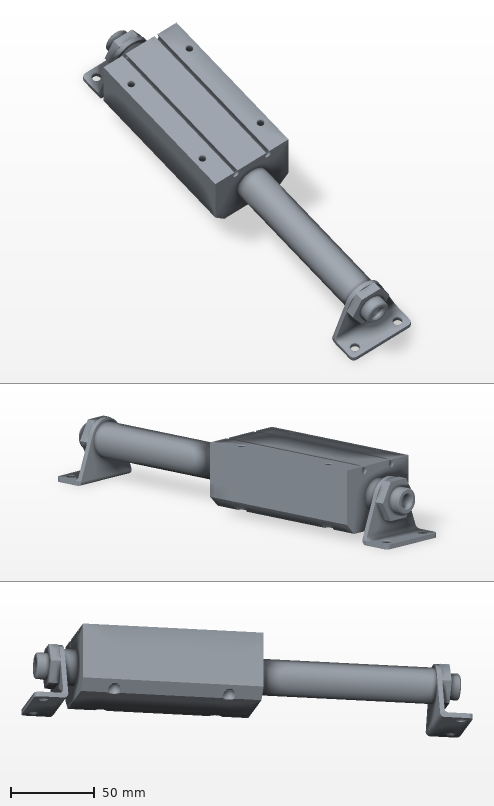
import cadquery as cq
import math

overall_length = 267.0
axis_height = 25.0

block_length = 110.0
block_width = 55.0
block_height = 40.0
block_top = 45.0
block_start = -105.2
block_bottom = block_top - block_height
block_middle = block_start + block_length / 2
edge_cut = 6.7

groove_offset = 12.0
groove_diameter = 4.3
groove_mouth = 2.5
groove_axis_depth = 2.7

screw_spacing_x = 70.0
screw_offset_y = 22.0
screw_diameter = 4.3
screw_mouth_diameter = 5.0
counterbore_diameter = 7.5
counterbore_depth = 6.0

rod_diameter = 22.0
stud_diameter = 16.0
stud_inset = 4.5
stud_chamfer = 0.8
tapped_diameter = 8.5
tapped_depth = 20.0
tapped_chamfer = 0.8

nut_across_flats = 24.0
nut_thickness = 6.0

bracket_width = 45.0
foot_length = 20.3
plate_thickness = 3.0
bend_inner_radius = 2.5
bend_outer_radius = 2.7
ear_radius = 13.0
foot_corner_radius = 3.0
foot_hole_diameter = 5.5
foot_hole_chamfer = 0.4
foot_hole_inset = 6.5
foot_hole_spacing = 32.0

half_length = overall_length / 2
plate_inner_x = half_length - foot_length
plate_outer_x = plate_inner_x + plate_thickness
stud_end_x = half_length - stud_inset


def rod_cylinder(diameter, start_x, end_x):
    """Round bar on the rod axis between two X stations."""
    section = cq.Workplane("YZ", origin=(start_x, 0, axis_height)).circle(diameter / 2)
    return section.extrude(end_x - start_x)


def make_groove(y):
    """Keyhole cutter along the block: a round channel opened upward by a narrow mouth."""
    center_z = block_top - groove_axis_depth
    channel = cq.Workplane("YZ", origin=(block_start, y, center_z)).circle(groove_diameter / 2)
    mouth = cq.Workplane("YZ", origin=(block_start, y, center_z + groove_axis_depth / 2))
    mouth = mouth.rect(groove_mouth, groove_axis_depth)
    return channel.extrude(block_length).union(mouth.extrude(block_length))


def make_block():
    """Block with cut lower edges, rod bore, top grooves and four counterbored holes."""
    half_width = block_width / 2
    cut_top = block_bottom + edge_cut
    outline = [
        (-half_width, block_top),
        (half_width, block_top),
        (half_width, cut_top),
        (half_width - edge_cut, block_bottom),
        (-half_width + edge_cut, block_bottom),
        (-half_width, cut_top),
    ]
    block = cq.Workplane("YZ", origin=(block_start, 0, 0)).polyline(outline).close()
    block = block.extrude(block_length)
    block = block.cut(rod_cylinder(rod_diameter, block_start, block_start + block_length))

    for side in (-1, 1):
        block = block.cut(make_groove(side * groove_offset))

    hole_pattern = cq.Workplane("XY", origin=(block_middle, 0, block_bottom))
    hole_pattern = hole_pattern.rarray(screw_spacing_x, 2 * screw_offset_y, 2, 2)
    block = block.cut(hole_pattern.circle(screw_diameter / 2).extrude(block_height))
    block = block.cut(hole_pattern.circle(counterbore_diameter / 2).extrude(counterbore_depth))

    mouth_pattern = cq.Workplane("XY", origin=(block_middle, 0, block_top))
    mouth_pattern = mouth_pattern.rarray(screw_spacing_x, 2 * screw_offset_y, 2, 2)
    mouth_depth = (screw_mouth_diameter - screw_diameter) / 2
    mouths = mouth_pattern.circle(screw_mouth_diameter / 2).extrude(-mouth_depth, taper=45)
    return block.cut(mouths)


def make_nut():
    """Hexagonal nut with flats at top and bottom, seated on the outer bracket face."""
    corner_diameter = nut_across_flats / math.cos(math.pi / 6)
    section = cq.Workplane("YZ", origin=(plate_outer_x, 0, axis_height)).polygon(6, corner_diameter)
    return section.extrude(nut_thickness)


def make_angle():
    """Bent strip of full width: upright plate, rounded bend and outward foot."""
    ear_top = axis_height + ear_radius
    profile = [
        (plate_inner_x, 0),
        (half_length, 0),
        (half_length, plate_thickness),
        (plate_outer_x, plate_thickness),
        (plate_outer_x, ear_top),
        (plate_inner_x, ear_top),
    ]
    strip = cq.Workplane("XZ", origin=(0, bracket_width / 2, 0)).polyline(profile).close()
    strip = strip.extrude(bracket_width)
    inner_corner = cq.NearestToPointSelector((plate_outer_x, 0, plate_thickness))
    strip = strip.edges(inner_corner).fillet(bend_inner_radius)
    outer_corner = cq.NearestToPointSelector((plate_inner_x, 0, 0))
    return strip.edges(outer_corner).fillet(bend_outer_radius)


def make_ear_outline():
    """Upright outline: a round ear joined by tangent lines to a foot of full width."""
    half_width = bracket_width / 2
    drop = axis_height - plate_thickness
    corner_distance = math.hypot(half_width, drop)
    tangent_angle = math.acos(ear_radius / corner_distance) - math.atan2(drop, half_width)
    tangent_y = ear_radius * math.cos(tangent_angle)
    tangent_z = axis_height + ear_radius * math.sin(tangent_angle)
    outline = cq.Workplane("YZ").moveTo(-half_width, 0).lineTo(half_width, 0)
    outline = outline.lineTo(half_width, plate_thickness)
    outline = outline.lineTo(tangent_y, tangent_z)
    outline = outline.threePointArc((0, axis_height + ear_radius), (-tangent_y, tangent_z))
    return outline.lineTo(-half_width, plate_thickness).close().extrude(half_length)


def make_bracket():
    """Angle bracket with a tapered ear, rounded foot corners and two foot holes."""
    bracket = make_angle().intersect(make_ear_outline())
    bracket = bracket.edges("|Z and >X").fillet(foot_corner_radius)
    hole_x = half_length - foot_hole_inset
    hole_radius = foot_hole_diameter / 2
    holes = cq.Workplane("XY", origin=(hole_x, 0, 0)).rarray(2.7, foot_hole_spacing, 1, 2)
    mouths = cq.Workplane("XY", origin=(hole_x, 0, plate_thickness)).rarray(2.7, foot_hole_spacing, 1, 2)
    mouths = mouths.circle(hole_radius + foot_hole_chamfer).extrude(-foot_hole_chamfer, taper=45)
    return bracket.cut(holes.circle(hole_radius).extrude(plate_thickness)).cut(mouths)


def make_stud():
    """Chamfered end that carries the nut."""
    stud = rod_cylinder(stud_diameter, plate_inner_x, stud_end_x)
    return stud.faces(">X").chamfer(stud_chamfer)


def make_tapped_hole():
    """Blind end hole with a chamfered mouth."""
    hole = rod_cylinder(tapped_diameter, stud_end_x - tapped_depth, stud_end_x)
    mouth = cq.Workplane("YZ", origin=(stud_end_x, 0, axis_height))
    mouth = mouth.circle(tapped_diameter / 2 + tapped_chamfer)
    return hole.union(mouth.extrude(-tapped_chamfer, taper=45))


def make_rod():
    """Rod carrying a bracket, nut and threaded end at each side."""
    rod = rod_cylinder(rod_diameter, -plate_inner_x, plate_inner_x)
    end = make_bracket().union(make_nut()).union(make_stud())
    hole = make_tapped_hole()
    rod = rod.union(end).union(end.mirror("YZ"))
    return rod.cut(hole).cut(hole.mirror("YZ"))


block = make_block()
rod = make_rod()
result = cq.Compound.makeCompound([block.val(), rod.val()])